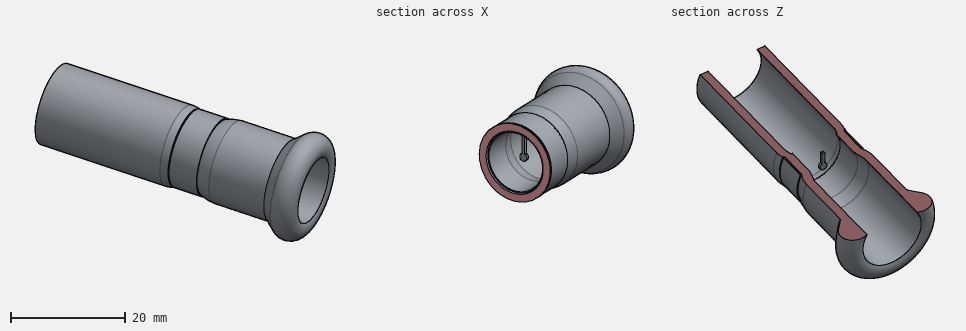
import cadquery as cq
import math

length = 51.0
tube_radius = 15.0 / 2
tube_bore_radius = 12.0 / 2
rounded_end_radius = 14.5 / 2
rounded_end_bore_radius = 11.5 / 2
neck_bore_radius = 11.0 / 2
wall = tube_radius - tube_bore_radius
neck_radius = neck_bore_radius + wall
socket_radius = 15.3 / 2
socket_bore_radius = 12.2 / 2

tube_end = 24.4
neck_start = 25.85
neck_end = 31.4
socket_start = 34.0
flare_start = 44.8

bead_outer_radius = 19.8 / 2
bead_round = 2.55
bead_x = length - bead_round
bead_r = bead_outer_radius - bead_round

band_radius = rounded_end_radius
band_gap = 0.15
band_start = neck_start + band_gap

disc_diameter = 1.5
stem_width = 0.55
marker_thickness = 0.5
marker_x = (neck_start + neck_end) / 2
stem_embed = wall / 2


def flare_tangent_point():
    """Point where the straight flare runs tangent into the bead round."""
    dx = flare_start - bead_x
    dr = socket_radius - bead_r
    angle = math.atan2(dr, dx) - math.acos(bead_round / math.hypot(dx, dr))
    return bead_x + bead_round * math.cos(angle), bead_r + bead_round * math.sin(angle)


def level_arc_radius(run, rise):
    """Radius of an arc that is level at one end and spans the given run and rise."""
    return (run**2 + rise**2) / (2 * rise)


def make_shell():
    """Revolve the wall of the tube, neck, socket and bead about the X axis."""
    profile = (
        cq.Workplane("XY")
        .moveTo(0, tube_bore_radius)
        .lineTo(0, tube_radius)
        .lineTo(tube_end, tube_radius)
        .tangentArcPoint((neck_start, rounded_end_radius), relative=False)
        .lineTo(neck_start, neck_radius)
        .lineTo(neck_end, neck_radius)
    )
    shoulder_round = level_arc_radius(socket_start - neck_end, socket_radius - neck_radius)
    bore_round = -level_arc_radius(neck_start - tube_end, tube_bore_radius - rounded_end_bore_radius)
    mouth_x = bead_x + math.sqrt(bead_round**2 - (bead_r - socket_bore_radius) ** 2)
    profile = (
        profile.radiusArc((socket_start, socket_radius), shoulder_round)
        .lineTo(flare_start, socket_radius)
        .lineTo(*flare_tangent_point())
        .threePointArc((bead_x, bead_outer_radius), (mouth_x, socket_bore_radius))
        .lineTo(socket_start, socket_bore_radius)
        .lineTo(neck_end, neck_bore_radius)
        .lineTo(neck_start, neck_bore_radius)
        .lineTo(neck_start, rounded_end_bore_radius)
        .radiusArc((tube_end, tube_bore_radius), bore_round)
        .close()
    )
    return profile.revolve(360, (0, 0, 0), (1, 0, 0))


def make_marker():
    """Disc and stem, with the stem rooted in the neck wall."""
    plane = cq.Workplane("YZ", origin=(marker_x - marker_thickness / 2, 0, 0))
    disc = plane.circle(disc_diameter / 2).extrude(marker_thickness)
    stem_length = neck_bore_radius + stem_embed
    stem = plane.center(0, stem_length / 2).rect(stem_width, stem_length).extrude(marker_thickness)
    return disc.union(stem)


def make_band():
    """Thin sleeve seated on the neck."""
    return (
        cq.Workplane("YZ", origin=(band_start, 0, 0))
        .circle(band_radius)
        .circle(neck_radius)
        .extrude(neck_end - band_start)
    )


fitting = make_shell().union(make_marker())
band = make_band()

result = cq.Compound.makeCompound([fitting.val(), band.val()])